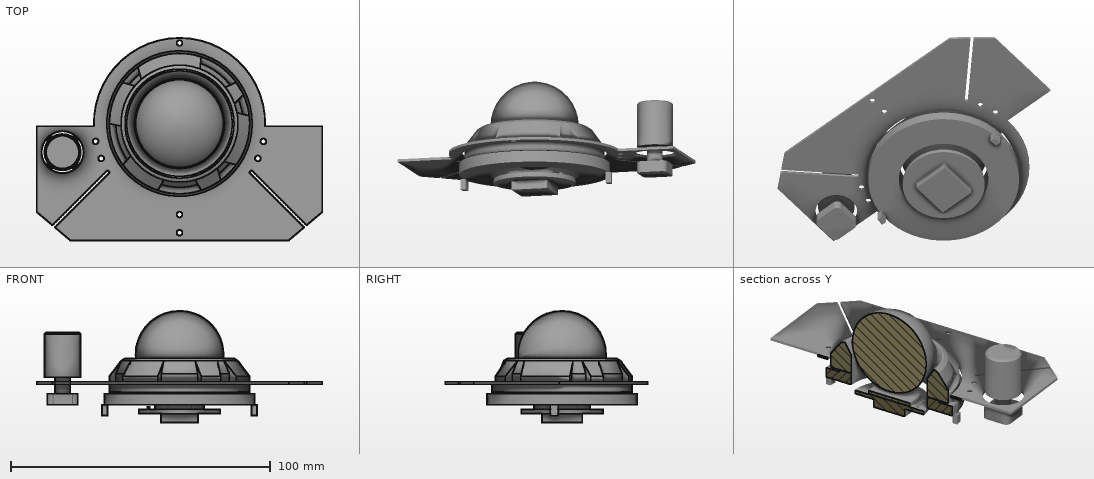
import cadquery as cq
import math

total_height = 43.0
ball_top = 28.3
plate_top = 1.0
ring_bottom = -3.0
ring_shoulder = 3.07
ring_edge = 9.05
ring_top = 10.0
recess_shoulder = 4.0
funnel_bottom = 5.2
flange_top = -3.6
flange_bottom = -7.9
tab_bottom = -12.0
board_top = -9.6
board_bottom = -11.3
chip_bottom = ball_top - total_height
knob_top = 20.0
knob_bottom = 2.65

plate_half_width = 55.0
plate_round_radius = 33.0
plate_shoulder_y = -1.0
plate_bottom_y = -45.0
plate_corner_y = -34.0
plate_corner_x = 42.0
plate_bore_diameter = 56.0

screw_hole_diameter = 2.1
rear_hole_y = 31.0
front_hole_ys = (-35.0, -42.0)
side_hole_radius = 33.0
side_hole_angles = (192, 204, 336, 348)

slot_width = 1.2
slot_end_x = 27.3
slot_end_y = -18.4
slot_angle = 45
slot_length = 40.0

ring_diameter = 54.0
ring_edge_radius = 22.5
ring_top_radius = 21.0
funnel_diameter = 40.6
ball_bore_diameter = 34.5
recess_radius = 24.5
wide_recess_angles = (54, 198, 270)
wide_recess_half_angle = 18
narrow_recess_angles = (15.3, 135.3, 315)
narrow_recess_half_angle = 9
recess_wall_splay = 30

ball_diameter = 34.0
flange_diameter = 58.0
neck_diameter = 45.5
tab_inner_diameter = 56.0
tab_outer_diameter = 60.0
tab_width = 3.0
tab_y = -3.0

lens_size = (19.0, 21.8)
lens_corner_radius = 5.0
board_diameter = 31.5
chip_size = (14.3, 15.6)
pin_size = (0.95, 0.6)
pin_height = 1.0
pin_x = -12.0
pin_pitch = 2.3
pin_count = 6

encoder_x = -45.0
encoder_y = -11.0
knob_diameter = 14.0
knob_chamfer = 0.7
plate_knob_hole_diameter = 16.0
shaft_diameter = 6.0
encoder_size = (11.8, 12.2)
encoder_corner_radius = 2.1


def cylinder(diameter, bottom, top, center=(0, 0)):
    """Upright cylinder between two heights."""
    return cq.Workplane("XY", origin=(*center, bottom)).circle(diameter / 2).extrude(top - bottom)


def block(size, bottom, top, center=(0, 0)):
    """Upright rectangular block between two heights."""
    return cq.Workplane("XY", origin=(*center, bottom)).rect(*size).extrude(top - bottom)


def polar(radius, angle):
    """Point at a radius and an angle in degrees."""
    return (radius * math.cos(math.radians(angle)), radius * math.sin(math.radians(angle)))


def make_plate():
    """Thin plate with a round rear end, cut corners, bores and slots."""
    shoulder_x = math.sqrt(plate_round_radius**2 - plate_shoulder_y**2)
    plate = (
        cq.Workplane("XY")
        .moveTo(shoulder_x, plate_shoulder_y)
        .threePointArc((0, plate_round_radius), (-shoulder_x, plate_shoulder_y))
        .lineTo(-plate_half_width, plate_shoulder_y)
        .lineTo(-plate_half_width, plate_corner_y)
        .lineTo(-plate_corner_x, plate_bottom_y)
        .lineTo(plate_corner_x, plate_bottom_y)
        .lineTo(plate_half_width, plate_corner_y)
        .lineTo(plate_half_width, plate_shoulder_y)
        .close()
        .extrude(plate_top)
    )
    plate = plate.cut(cylinder(plate_bore_diameter, 0, plate_top))
    plate = plate.cut(cylinder(plate_knob_hole_diameter, 0, plate_top, (encoder_x, encoder_y)))
    hole_points = [(0, y) for y in (rear_hole_y, *front_hole_ys)]
    hole_points += [polar(side_hole_radius, angle) for angle in side_hole_angles]
    for point in hole_points:
        plate = plate.cut(cylinder(screw_hole_diameter, 0, plate_top, point))
    for side in (-1, 1):
        slot = (
            cq.Workplane("XY")
            .center(slot_length / 2, 0)
            .rect(slot_length, slot_width)
            .extrude(plate_top)
            .rotate((0, 0, 0), (0, 0, 1), -90 + side * slot_angle)
            .translate((side * slot_end_x, slot_end_y, 0))
        )
        plate = plate.cut(slot)
    return plate


def recess_sector(center_angle, half_angle):
    """Prism over one recess, its side walls splayed from the recess centre line."""
    corner = polar(ring_diameter / 2, half_angle)
    wall_slope = math.tan(math.radians(recess_wall_splay))
    inner_x = ball_bore_diameter / 2
    outer_x = ring_diameter
    inner_y = corner[1] - (corner[0] - inner_x) * wall_slope
    outer_y = corner[1] + (outer_x - corner[0]) * wall_slope
    return (
        cq.Workplane("XY", origin=(0, 0, plate_top))
        .polyline([(inner_x, -inner_y), (outer_x, -outer_y), (outer_x, outer_y), (inner_x, inner_y)])
        .close()
        .extrude(ring_top - plate_top)
        .rotate((0, 0, 0), (0, 0, 1), center_angle)
    )


def make_ring():
    """Conical retaining ring with a funnel mouth and six recesses around its flank."""
    ring_radius = ring_diameter / 2
    bore_radius = ball_bore_diameter / 2
    ring = (
        cq.Workplane("XZ")
        .moveTo(bore_radius, ring_bottom)
        .lineTo(ring_radius, ring_bottom)
        .lineTo(ring_radius, ring_shoulder)
        .lineTo(ring_edge_radius, ring_edge)
        .lineTo(ring_top_radius, ring_top)
        .lineTo(funnel_diameter / 2, ring_top)
        .lineTo(bore_radius, funnel_bottom)
        .close()
        .revolve(360, (0, 0, 0), (0, 1, 0))
    )
    recess = (
        cq.Workplane("XZ")
        .moveTo(recess_radius, plate_top)
        .lineTo(ring_diameter, plate_top)
        .lineTo(ring_diameter, ring_edge)
        .lineTo(ring_edge_radius, ring_edge)
        .lineTo(recess_radius, recess_shoulder)
        .close()
        .revolve(360, (0, 0, 0), (0, 1, 0))
    )
    sectors = [recess_sector(angle, wide_recess_half_angle) for angle in wide_recess_angles]
    sectors += [recess_sector(angle, narrow_recess_half_angle) for angle in narrow_recess_angles]
    for sector in sectors:
        ring = ring.cut(recess.intersect(sector))
    return ring


def make_base():
    """Flanged base with a neck under the ring and two tabs below its rim."""
    base = cylinder(flange_diameter, flange_bottom, flange_top)
    base = base.union(cylinder(neck_diameter, flange_top, ring_bottom))
    base = base.cut(cylinder(ball_bore_diameter, flange_bottom, ring_bottom))
    tabs = cylinder(tab_outer_diameter, tab_bottom, flange_bottom)
    tabs = tabs.cut(cylinder(tab_inner_diameter, tab_bottom, flange_bottom))
    tabs = tabs.intersect(block((tab_outer_diameter, tab_width), tab_bottom, flange_bottom, (0, tab_y)))
    return base.union(tabs)


def make_board():
    """Round circuit board with its chip below and a row of pin ends above."""
    board = cylinder(board_diameter, board_bottom, board_top)
    board = board.union(block(chip_size, chip_bottom, board_bottom))
    for index in range(pin_count):
        pin_y = (index - (pin_count - 1) / 2) * pin_pitch
        board = board.union(block(pin_size, board_top, board_top + pin_height, (pin_x, pin_y)))
    return board


def make_encoder():
    """Rounded encoder case with its shaft."""
    center = (encoder_x, encoder_y)
    case = block(encoder_size, flange_bottom, flange_top, center).edges("|Z").fillet(encoder_corner_radius)
    return case.union(cylinder(shaft_diameter, flange_top, knob_bottom, center))


plate = make_plate()
ring = make_ring()
base = make_base()
ball = cq.Workplane("XY").sphere(ball_diameter / 2).translate((0, 0, ball_top - ball_diameter / 2))
lens = block(lens_size, board_top, flange_bottom).edges("|Z").fillet(lens_corner_radius)
board = make_board()
encoder = make_encoder()
knob = cylinder(knob_diameter, knob_bottom, knob_top, (encoder_x, encoder_y)).faces(">Z").chamfer(knob_chamfer)

bodies = [plate, ring, base, ball, lens, board, encoder, knob]
result = cq.Compound.makeCompound([body.val() for body in bodies])